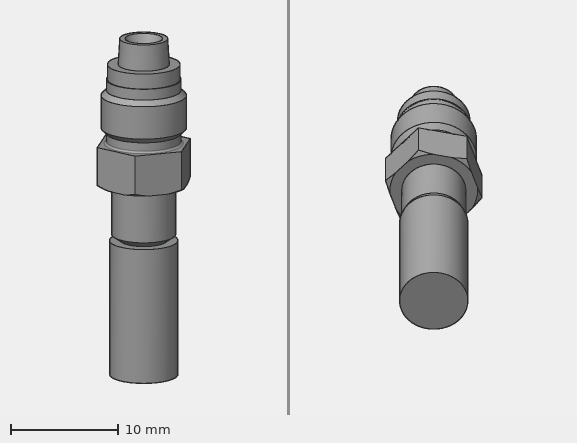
import math
import cadquery as cq

sleeve_top = 13.0
neck_chamfer_top = 13.6
hex_bottom = 18.45
hex_top = 22.45
groove_top = 23.45
body_bottom = 23.95
body_top = 27.1
shoulder_bottom = 27.6
shoulder_top = 28.65
seat_top = 30.1
total_height = 32.6

sleeve_diameter = 6.4
neck_diameter = 6.0
neck_end_diameter = 4.3
groove_diameter = 7.0
groove_fillet = 0.2
body_diameter = 8.0
shoulder_diameter = 7.0
seat_diameter = 6.8
nose_base_diameter = 4.8
nose_tip_diameter = 4.5

hex_sides = 6
hex_across_flats = 8.0
hex_chamfer_diameter = 8.2
hex_chamfer_angle = 30.0

socket_mouth_diameter = 3.5
socket_floor_diameter = 1.3
socket_depth = 2.75
bore_diameter = 1.0
bore_depth = 1.0


def revolve_about_z(outline):
    """Close an outline in the XZ plane and revolve it a full turn about Z."""
    return outline.close().revolve(360, (0, 0, 0), (0, 1, 0))


def make_turned_body():
    """Revolve the stepped outer profile about the Z axis."""
    groove_radius = groove_diameter / 2
    fillet_outer_radius = groove_radius + groove_fillet
    fillet_centre_height = hex_top + groove_fillet
    fillet_offset = groove_fillet * math.sqrt(0.5)
    fillet_middle = (fillet_outer_radius - fillet_offset, fillet_centre_height - fillet_offset)
    outline = (
        cq.Workplane("XZ")
        .lineTo(sleeve_diameter / 2, 0)
        .lineTo(sleeve_diameter / 2, sleeve_top)
        .lineTo(neck_end_diameter / 2, sleeve_top)
        .lineTo(neck_diameter / 2, neck_chamfer_top)
        .lineTo(neck_diameter / 2, hex_top)
        .lineTo(fillet_outer_radius, hex_top)
        .threePointArc(fillet_middle, (groove_radius, fillet_centre_height))
        .lineTo(groove_radius, groove_top)
        .lineTo(body_diameter / 2, body_bottom)
        .lineTo(body_diameter / 2, body_top)
        .lineTo(shoulder_diameter / 2, shoulder_bottom)
        .lineTo(shoulder_diameter / 2, shoulder_top)
        .lineTo(seat_diameter / 2, shoulder_top)
        .lineTo(seat_diameter / 2, seat_top)
        .lineTo(nose_base_diameter / 2, seat_top)
        .lineTo(nose_tip_diameter / 2, total_height)
        .lineTo(0, total_height)
    )
    return revolve_about_z(outline)


def make_hex():
    """Hexagon with flats facing +X and -X and its lower corners turned off to a cone."""
    across_corners = hex_across_flats / math.cos(math.pi / hex_sides)
    chamfer_width = (across_corners - hex_chamfer_diameter) / 2
    chamfer_height = chamfer_width * math.tan(math.radians(hex_chamfer_angle))
    prism = (
        cq.Workplane("XY")
        .workplane(offset=hex_bottom)
        .transformed(rotate=(0, 0, 90))
        .polygon(hex_sides, across_corners)
        .extrude(hex_top - hex_bottom)
    )
    envelope = revolve_about_z(
        cq.Workplane("XZ")
        .moveTo(0, hex_bottom)
        .lineTo(hex_chamfer_diameter / 2, hex_bottom)
        .lineTo(across_corners / 2, hex_bottom + chamfer_height)
        .lineTo(across_corners / 2, hex_top)
        .lineTo(0, hex_top)
    )
    return prism.intersect(envelope)


def make_socket():
    """Conical socket opening at the nose tip, with a small bore below its floor."""
    floor_height = total_height - socket_depth
    return revolve_about_z(
        cq.Workplane("XZ")
        .moveTo(0, total_height)
        .lineTo(socket_mouth_diameter / 2, total_height)
        .lineTo(socket_floor_diameter / 2, floor_height)
        .lineTo(bore_diameter / 2, floor_height)
        .lineTo(bore_diameter / 2, floor_height - bore_depth)
        .lineTo(0, floor_height - bore_depth)
    )


result = make_turned_body().union(make_hex()).cut(make_socket())